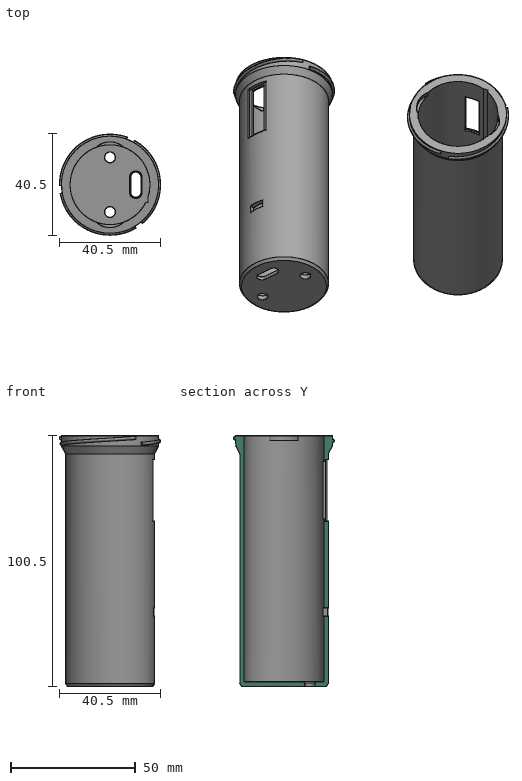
import cadquery as cq

height = 100.5
body_radius = 35.7 / 2
bore_radius = 16.0
floor_thickness = 2.0
foot_chamfer_height = 1.2
foot_chamfer_width = 0.8

collar_radius = 38.9 / 2
collar_height = 4.1
collar_cone_height = 3.1

thread_starts = 3
ridge_radius = 0.65
ridge_path_radius = 19.6
ridge_low_depth = 3.2
ridge_high_depth = 0.9
ridge_span_angle = 111.0
first_ridge_angle = 70.0

screw_hole_diameter = 4.2
screw_hole_offset = 11.0
floor_slot_length = 10.0
floor_slot_width = 4.0
floor_slot_offset = 10.4
floor_slot_chamfer = 0.5

scallop_radius = 8.0
scallop_reach = 17.2
scallop_depth = 1.8

channel_outer_x = 15.3
channel_low_y = -7.0
channel_size = 2.0

recess_floor_x = 16.6
recess_width = 9.0
recess_top = 91.0
recess_bottom = 66.3
window_width = 6.0
window_margin = 0.8

opening_inner_x = 14.1

port_width = 6.2
port_bottom = 28.2
port_top = 31.6


def tube():
    """Closed-bottom tube with a conical step up to the collar."""
    collar_bottom = height - collar_height
    profile = [
        (0, 0),
        (body_radius - foot_chamfer_width, 0),
        (body_radius, foot_chamfer_height),
        (body_radius, collar_bottom - collar_cone_height),
        (collar_radius, collar_bottom),
        (collar_radius, height),
        (bore_radius, height),
        (bore_radius, floor_thickness),
        (0, floor_thickness),
    ]
    return cq.Workplane("XZ").polyline(profile).close().revolve(360, (0, 0), (0, 1))


def thread_ridge(start_angle):
    """One ridge climbing counterclockwise from start_angle."""
    rise = ridge_low_depth - ridge_high_depth
    pitch = rise * 360 / ridge_span_angle
    path = cq.Wire.makeHelix(pitch, rise, ridge_path_radius)
    ridge = (
        cq.Workplane("XZ")
        .center(ridge_path_radius, 0)
        .circle(ridge_radius)
        .sweep(cq.Workplane(path), isFrenet=True)
    )
    ridge = ridge.translate((0, 0, height - ridge_low_depth))
    return ridge.rotate((0, 0, 0), (0, 0, 1), start_angle)


def wall_cut(inner_x, width, bottom, top):
    """Box cutting outward through the +X wall from inner_x."""
    depth = collar_radius - inner_x
    return (
        cq.Workplane("XY")
        .box(depth, width, top - bottom, centered=(False, True, False))
        .translate((inner_x, 0, bottom))
    )


def screw_holes():
    return (
        cq.Workplane("XY")
        .pushPoints([(0, -screw_hole_offset), (0, screw_hole_offset)])
        .circle(screw_hole_diameter / 2)
        .extrude(floor_thickness)
    )


def floor_slot():
    """Slot through the floor, flared at its upper edge."""
    flare_length = floor_slot_length + 2 * floor_slot_chamfer
    flare_width = floor_slot_width + 2 * floor_slot_chamfer
    flare = (
        cq.Workplane("XY")
        .center(floor_slot_offset, 0)
        .slot2D(flare_length, flare_width, 90)
        .extrude(-floor_slot_chamfer, taper=45)
        .translate((0, 0, floor_thickness))
    )
    straight = (
        cq.Workplane("XY")
        .center(floor_slot_offset, 0)
        .slot2D(floor_slot_length, floor_slot_width, 90)
        .extrude(floor_thickness)
    )
    return flare.union(straight)


def rim_scallops():
    center_y = scallop_reach - scallop_radius
    return (
        cq.Workplane("XY", origin=(0, 0, height - scallop_depth))
        .pushPoints([(0, -center_y), (0, center_y)])
        .circle(scallop_radius)
        .extrude(scallop_depth)
    )


def bore_channel():
    corner = (channel_outer_x - channel_size, channel_low_y, floor_thickness)
    depth = height - floor_thickness
    return cq.Workplane("XY", origin=corner).box(channel_size, channel_size, depth, centered=False)


result = tube()
for start in range(thread_starts):
    result = result.union(thread_ridge(first_ridge_angle + start * 360 / thread_starts))

window_bottom = recess_bottom + window_margin
window_top = recess_top - window_margin
for cut in (
    screw_holes(),
    floor_slot(),
    rim_scallops(),
    bore_channel(),
    wall_cut(recess_floor_x, recess_width, recess_bottom, recess_top),
    wall_cut(opening_inner_x, window_width, window_bottom, window_top),
    wall_cut(opening_inner_x, port_width, port_bottom, port_top),
):
    result = result.cut(cut)